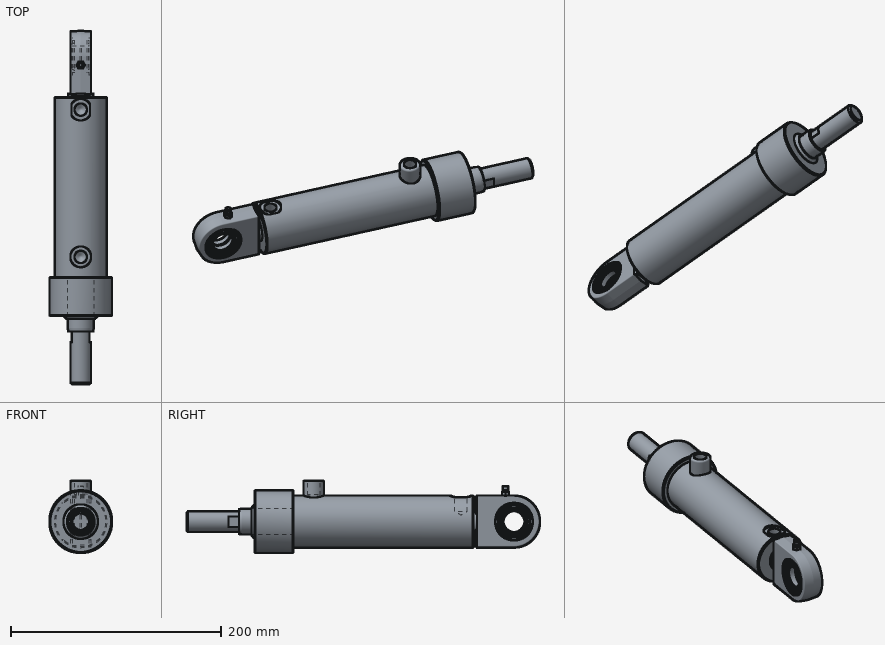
import cadquery as cq
import math


EYE_RADIUS = 25.0
EYE_HALF_WIDTH = 9.95
EYE_TO_END = 37.7
EYE_DRAFT_ANGLE = 5.0
EYE_EDGE_RADIUS = 1.0
EYE_END_BEVEL = 2.7
HUB_DIAMETER = 24.0
HUB_TO_FACE = 35.5

SEAT_DIAMETER = 35.0
SEAT_MOUTH_DIAMETER = 36.0
RING_DIAMETER = 30.5
RING_HALF_WIDTH = 7.8
RACE_HALF_WIDTH = 6.0
BALL_DIAMETER = 29.0
BALL_HALF_WIDTH = 8.0
PIN_BORE_DIAMETER = 20.0
PIN_BORE_CHAMFER = 0.7
LUBE_GROOVE_WIDTH = 1.0
LUBE_GROOVE_DEPTH = 0.5

NIPPLE_TO_AXIS = 8.0
HEX_ACROSS_FLATS = 6.7
HEX_HEIGHT = 3.0
HEX_ROOT = 1.7
NIPPLE_COLLAR_DIAMETER = 5.7
NIPPLE_COLLAR_HEIGHT = 4.7
NIPPLE_NECK_DIAMETER = 4.7
NIPPLE_HEAD_DIAMETER = 5.5
NIPPLE_HEAD_HEIGHT = 5.5
NIPPLE_HEIGHT = 9.0
NIPPLE_TOP_CHAMFER = 0.7

BARREL_DIAMETER = 50.0
BARREL_TO_REAR = 38.5
HEAD_DIAMETER = 60.0
HEAD_TO_REAR = 210.0
HEAD_TO_FRONT = 247.0
BODY_CHAMFER = 1.0
WIPER_BASE_DIAMETER = 33.0
WIPER_TIP_DIAMETER = 26.3
WIPER_LENGTH = 3.0

PORT_DIAMETER = 11.8
PORT_DEPTH = 13.5
DRILL_POINT_ANGLE = 118.0
REAR_PORT_TO_AXIS = 50.5
SPOT_FACE_DIAMETER = 20.5
SPOT_FACE_DEPTH = 1.7
FRONT_PORT_TO_AXIS = 190.7
BOSS_DIAMETER = 20.0
BOSS_TOP_HEIGHT = 39.0
BOSS_EDGE_RADIUS = 1.7

ROD_DIAMETER = 25.0
ROD_SHOULDER_DIAMETER = 24.0
ROD_TO_TAPER = 258.8
ROD_TO_SHOULDER = 262.0
SPIGOT_DIAMETER = 20.0
SPIGOT_TIP_DIAMETER = 16.0
SPIGOT_TIP_LENGTH = 1.7
OVERALL_LENGTH = 337.0
FLATS_WIDTH = 17.2
FLATS_LENGTH = 10.0


def revolve_about_y(points):
    """Solid of revolution about Y from (radius, y) points."""
    return cq.Workplane("XY").polyline(points).close().revolve(360, (0, 0), (0, 1))


def cylinder_along_z(diameter, y, bottom, top):
    """Upright cylinder centred on x = 0."""
    return cq.Workplane("XY", origin=(0, y, bottom)).circle(diameter / 2).extrude(top - bottom)




def eye_half():
    """The +X half of the eye, drafted away from its middle plane."""
    half = (
        cq.Workplane("YZ")
        .moveTo(0, EYE_RADIUS)
        .threePointArc((EYE_RADIUS, 0), (0, -EYE_RADIUS))
        .lineTo(-EYE_TO_END, -EYE_RADIUS)
        .lineTo(-EYE_TO_END, EYE_RADIUS)
        .close()
        .extrude(EYE_HALF_WIDTH, taper=EYE_DRAFT_ANGLE)
    )
    return half.faces(">X").edges().fillet(EYE_EDGE_RADIUS)


def eye_end_envelope():
    """Block around the eye whose -Y end is bevelled on its four edges."""
    return (
        cq.Workplane("XZ", origin=(0, EYE_RADIUS, 0))
        .rect(2 * EYE_HALF_WIDTH, 2 * EYE_RADIUS)
        .extrude(EYE_RADIUS + EYE_TO_END)
        .faces("<Y")
        .chamfer(EYE_END_BEVEL)
    )


def bearing_space():
    """Empty space around the bearing: the pin bore, the ball groove and the seat mouth."""
    bore_radius = PIN_BORE_DIAMETER / 2
    ball_radius = BALL_DIAMETER / 2
    ball_face_radius = math.sqrt(ball_radius**2 - BALL_HALF_WIDTH**2)
    race_radius = math.sqrt(ball_radius**2 - RACE_HALF_WIDTH**2)
    mid_width = (BALL_HALF_WIDTH + RACE_HALF_WIDTH) / 2
    mid_radius = math.sqrt(ball_radius**2 - mid_width**2)
    mouth_start = EYE_HALF_WIDTH - (SEAT_MOUTH_DIAMETER - SEAT_DIAMETER) / 2
    side = (
        cq.Workplane("XY")
        .moveTo(0, 0)
        .lineTo(0, bore_radius + LUBE_GROOVE_DEPTH)
        .lineTo(LUBE_GROOVE_WIDTH / 2, bore_radius + LUBE_GROOVE_DEPTH)
        .lineTo(LUBE_GROOVE_WIDTH / 2, bore_radius)
        .lineTo(BALL_HALF_WIDTH - PIN_BORE_CHAMFER, bore_radius)
        .lineTo(BALL_HALF_WIDTH, bore_radius + PIN_BORE_CHAMFER)
        .lineTo(BALL_HALF_WIDTH, ball_face_radius)
        .threePointArc((mid_width, mid_radius), (RACE_HALF_WIDTH, race_radius))
        .lineTo(RACE_HALF_WIDTH, RING_DIAMETER / 2)
        .lineTo(RING_HALF_WIDTH, RING_DIAMETER / 2)
        .lineTo(RING_HALF_WIDTH, SEAT_DIAMETER / 2)
        .lineTo(mouth_start, SEAT_DIAMETER / 2)
        .lineTo(EYE_HALF_WIDTH, SEAT_MOUTH_DIAMETER / 2)
        .lineTo(EYE_HALF_WIDTH, 0)
        .close()
        .revolve(360, (0, 0), (1, 0))
    )
    return side.union(side.mirror("YZ"))


def grease_nipple():
    """Hexagon standing on the eye, with a round collar, a thinner neck and a head above it."""
    head_radius = NIPPLE_HEAD_DIAMETER / 2
    head_profile = [
        (0, HEX_HEIGHT),
        (NIPPLE_COLLAR_DIAMETER / 2, HEX_HEIGHT),
        (NIPPLE_COLLAR_DIAMETER / 2, NIPPLE_COLLAR_HEIGHT),
        (NIPPLE_NECK_DIAMETER / 2, NIPPLE_COLLAR_HEIGHT),
        (head_radius, NIPPLE_HEAD_HEIGHT),
        (head_radius, NIPPLE_HEIGHT - NIPPLE_TOP_CHAMFER),
        (head_radius - NIPPLE_TOP_CHAMFER, NIPPLE_HEIGHT),
        (0, NIPPLE_HEIGHT),
    ]
    foot = (0, -NIPPLE_TO_AXIS, EYE_RADIUS)
    head = cq.Workplane("XZ", origin=foot).polyline(head_profile).close().revolve(360, (0, 0), (0, 1))
    hex_corners = HEX_ACROSS_FLATS / math.cos(math.pi / 6)
    hexagon = (
        cq.Workplane("XY", origin=foot)
        .workplane(offset=-HEX_ROOT)
        .polygon(6, hex_corners)
        .extrude(HEX_ROOT + HEX_HEIGHT)
    )
    return hexagon.union(head)


def make_eye():
    half = eye_half()
    plate = half.union(half.mirror("YZ")).intersect(eye_end_envelope())
    hub = (
        cq.Workplane("XZ", origin=(0, -HUB_TO_FACE, 0))
        .circle(HUB_DIAMETER / 2)
        .extrude(BARREL_TO_REAR - HUB_TO_FACE)
    )
    return plate.union(hub).cut(bearing_space()).union(grease_nipple())




def port_hole(y, top):
    """Blind drilled hole with a conical bottom, open at the given height."""
    radius = PORT_DIAMETER / 2
    point_length = radius / math.tan(math.radians(DRILL_POINT_ANGLE / 2))
    profile = [
        (0, top),
        (radius, top),
        (radius, top - PORT_DEPTH),
        (0, top - PORT_DEPTH - point_length),
    ]
    return (
        cq.Workplane("XZ", origin=(0, y, 0))
        .polyline(profile)
        .close()
        .revolve(360, (0, 0), (0, 1))
    )


def barrel_and_head():
    """Barrel, head and wiper cone turned in one piece, bored for the rod."""
    barrel_radius = BARREL_DIAMETER / 2
    head_radius = HEAD_DIAMETER / 2
    bore_radius = ROD_DIAMETER / 2
    profile = [
        (0, -BARREL_TO_REAR),
        (barrel_radius - BODY_CHAMFER, -BARREL_TO_REAR),
        (barrel_radius, -BARREL_TO_REAR - BODY_CHAMFER),
        (barrel_radius, -HEAD_TO_REAR),
        (head_radius - BODY_CHAMFER, -HEAD_TO_REAR),
        (head_radius, -HEAD_TO_REAR - BODY_CHAMFER),
        (head_radius, -HEAD_TO_FRONT + BODY_CHAMFER),
        (head_radius - BODY_CHAMFER, -HEAD_TO_FRONT),
        (WIPER_BASE_DIAMETER / 2, -HEAD_TO_FRONT),
        (WIPER_TIP_DIAMETER / 2, -HEAD_TO_FRONT - WIPER_LENGTH),
        (bore_radius, -HEAD_TO_FRONT - WIPER_LENGTH),
        (bore_radius, -HEAD_TO_REAR),
        (0, -HEAD_TO_REAR),
    ]
    return revolve_about_y(profile)


def make_cylinder():
    boss_y = -FRONT_PORT_TO_AXIS
    spot_y = -REAR_PORT_TO_AXIS
    barrel_top = BARREL_DIAMETER / 2
    spot_height = barrel_top - SPOT_FACE_DEPTH
    boss = cylinder_along_z(BOSS_DIAMETER, boss_y, 0, BOSS_TOP_HEIGHT)
    boss = boss.faces(">Z").edges().fillet(BOSS_EDGE_RADIUS)
    spot_face = cylinder_along_z(SPOT_FACE_DIAMETER, spot_y, spot_height, barrel_top)
    return (
        barrel_and_head()
        .union(boss)
        .cut(spot_face)
        .cut(port_hole(spot_y, spot_height))
        .cut(port_hole(boss_y, BOSS_TOP_HEIGHT))
    )




def make_rod():
    rod_end = OVERALL_LENGTH - EYE_RADIUS
    profile = [
        (0, -HEAD_TO_REAR),
        (ROD_DIAMETER / 2, -HEAD_TO_REAR),
        (ROD_DIAMETER / 2, -ROD_TO_TAPER),
        (ROD_SHOULDER_DIAMETER / 2, -ROD_TO_SHOULDER),
        (SPIGOT_DIAMETER / 2, -ROD_TO_SHOULDER),
        (SPIGOT_DIAMETER / 2, -rod_end + SPIGOT_TIP_LENGTH),
        (SPIGOT_TIP_DIAMETER / 2, -rod_end),
        (0, -rod_end),
    ]
    rod = revolve_about_y(profile)
    flats = (
        cq.Workplane("XZ", origin=(0, -ROD_TO_SHOULDER, 0))
        .rect(2 * SPIGOT_DIAMETER, SPIGOT_DIAMETER)
        .rect(FLATS_WIDTH, SPIGOT_DIAMETER)
        .extrude(FLATS_LENGTH)
    )
    return rod.cut(flats)


eye = make_eye()
cylinder = make_cylinder()
rod = make_rod()

result = cq.Compound.makeCompound([eye.val(), cylinder.val(), rod.val()])